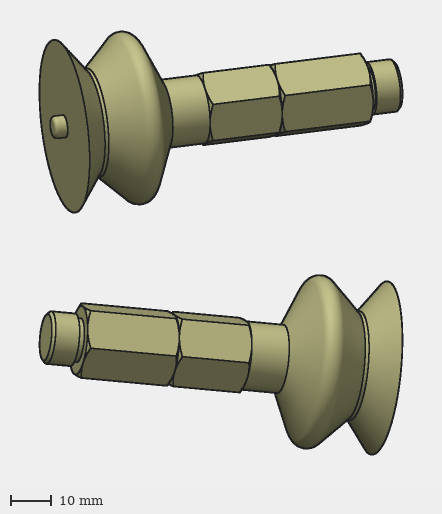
import cadquery as cq
import math


total_length = 88.5

pin_radius = 5.6 / 2
pin_length = 3.1
pin_round = 1.0

cup_radius = 21.5
waist_radius = 13.5
waist_front = 6.4
waist_back = 7.35
bulge_center = 17.0
bulge_round = 3.0
shoulder = 25.4

hex_flats = 17.0
collar_radius = hex_flats / 2
front_hex_start = 35.0
hex_joint = 53.5
back_hex_end = 77.0
hex_chamfer_angle = 30

neck_radius = 11.0 / 2
thread_radius = 13.1 / 2
thread_start = 78.5
stem_end = total_length - pin_length
thread_chamfer = 0.8


def tangent_point(point, center, radius, side):
    """Touching point of a line from point to a circle; side (+1 or -1) picks one of the two."""
    dx = point[0] - center[0]
    dy = point[1] - center[1]
    angle = math.atan2(dy, dx) + side * math.acos(radius / math.hypot(dx, dy))
    return (center[0] + radius * math.cos(angle), center[1] + radius * math.sin(angle))


def cylinder(radius, start, end):
    return cq.Workplane("XZ", origin=(0, start, 0)).circle(radius).extrude(start - end)


def make_cup():
    """Revolved bellows: flared lip, waist, rounded bulge and sloping shoulder."""
    center = (cup_radius - bulge_round, bulge_center)
    waist_edge = (waist_radius, waist_back)
    shoulder_edge = (collar_radius, shoulder)
    bulge_front = tangent_point(waist_edge, center, bulge_round, 1)
    bulge_back = tangent_point(shoulder_edge, center, bulge_round, -1)
    return (
        cq.Workplane("XY")
        .lineTo(cup_radius, 0)
        .lineTo(waist_radius, waist_front)
        .lineTo(*waist_edge)
        .lineTo(*bulge_front)
        .threePointArc((cup_radius, bulge_center), bulge_back)
        .lineTo(*shoulder_edge)
        .lineTo(0, shoulder)
        .close()
        .revolve(360, (0, 0, 0), (0, 1, 0))
    )


def make_hex(start, end):
    """Hexagon with corners on +Z and -Z, its corners cut by a cone at both ends."""
    corner_radius = hex_flats / math.sqrt(3)
    flat_radius = hex_flats / 2
    chamfer = (corner_radius - flat_radius) * math.tan(math.radians(hex_chamfer_angle))
    prism = (
        cq.Workplane("XZ", origin=(0, start, 0))
        .transformed(rotate=(0, 0, 90))
        .polygon(6, 2 * corner_radius)
        .extrude(start - end)
    )
    envelope = (
        cq.Workplane("XY")
        .moveTo(0, start)
        .lineTo(flat_radius, start)
        .lineTo(corner_radius, start + chamfer)
        .lineTo(corner_radius, end - chamfer)
        .lineTo(flat_radius, end)
        .lineTo(0, end)
        .close()
        .revolve(360, (0, 0, 0), (0, 1, 0))
    )
    return prism.intersect(envelope)


pin = cylinder(pin_radius, -pin_length, 0).faces("<Y").edges().fillet(pin_round)
collar = cylinder(collar_radius, shoulder, front_hex_start)
neck = cylinder(neck_radius, back_hex_end, thread_start)
thread = cylinder(thread_radius, thread_start, stem_end).faces(">Y").edges().chamfer(thread_chamfer)

result = (
    make_cup()
    .union(pin)
    .union(collar)
    .union(make_hex(front_hex_start, hex_joint))
    .union(make_hex(hex_joint, back_hex_end))
    .union(neck)
    .union(thread)
)